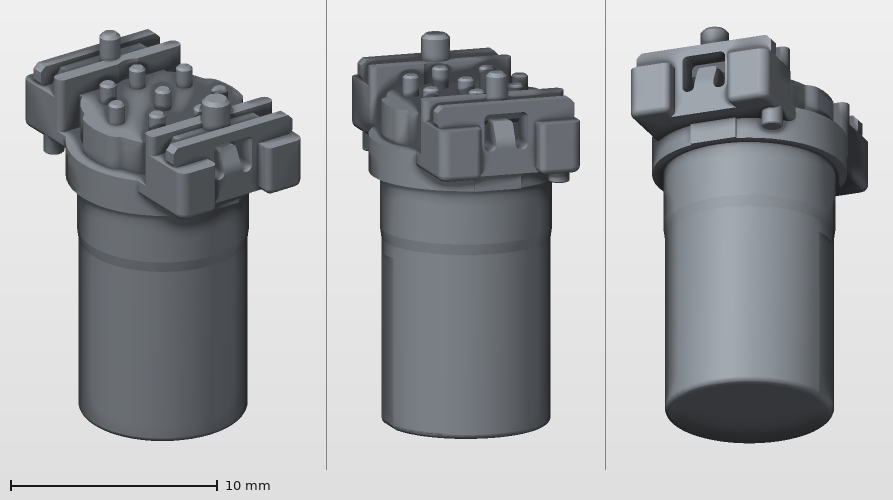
import cadquery as cq
import math

total_height = 18.3
flange_bottom_z = 12.48
wing_bottom_z = 13.5
flange_top_z = 14.3
deck_z = 16.03
bridge_top_z = 16.8
rail_top_z = 17.05

barrel_radius = 4.1
barrel_end_fillet = 0.3
collar_radius = 4.17
taper_bottom_z = 9.19
taper_top_z = 9.72
flat_y = 4.0
flat_top_z = 8.55
flange_radius = 4.72
flange_tab_half_width = 1.17

body_radius = 4.1
lobe_half_width = 1.32
notch_point = (1.55, 3.51)
shoulder_middle = (2.43, 3.17)
body_bar_half_width = 2.49
lobe_fillet = 0.82
notch_fillet = 0.22

wing_length = 13.5
wing_half_width = 3.62
leg_inner_y = 1.5
wing_core_x = 5.91
wing_root_x = 1.83
leg_outer_fillet = 0.5
leg_inner_fillet = 0.3
wing_bottom_fillet = 0.3

rail_inner_x = 3.5
inner_rail_thickness = 0.73
inner_rail_fillet = 0.31
outer_rail_thickness = 0.62
outer_rail_half_length = 3.51
outer_rail_corner = 0.25
bridge_top_half_length = 2.35
bridge_bottom_half_length = 2.82

window_half_width = 1.12
window_top_z = 16.55
window_floor_z = 14.7
window_top_fillet = 0.27
slot_fillet = 0.3
undercut_top_z = 15.95
undercut_depth = 0.24
window_back_x = 4.67
tongue_half_width = 0.5
tongue_start_z = 14.82
tongue_bend_z = 15.08
tongue_top_z = 16.07
tongue_ridge_depth = 0.51
tongue_bend_radius = 1.05
tongue_top_fillet = 0.16

contact_radius = 0.4
contact_chamfer = 0.11
contact_circle_radius = 2.75
contact_start_angle = -90
contact_step_angle = 49
contact_steps_each_side = 3
contact_clearance_radius = 0.95
guide_x = 4.48
guide_radii = {-1: 0.51, 1: 0.7}
guide_chamfer = 0.18
foot_x = 4.75
foot_y = 3.11
foot_radius = 0.51
foot_bottom_z = 12.72
foot_chamfer = 0.05

wing_end_x = wing_length / 2
inner_rail_outer_x = rail_inner_x + inner_rail_thickness
outer_rail_inner_x = wing_core_x - outer_rail_thickness


def box(x0, x1, y0, y1, z0, z1):
    """Axis-aligned block between the given limits."""
    return cq.Workplane("XY").box(x1 - x0, y1 - y0, z1 - z0, centered=False).translate((x0, y0, z0))


def cylinder(radius, z0, z1, x=0, y=0):
    """Upright cylinder."""
    return cq.Workplane("XY", origin=(x, y, z0)).circle(radius).extrude(z1 - z0)


def mirrored_x(solid):
    """The solid together with its mirror image across the YZ plane."""
    return solid.union(solid.mirror("YZ"))


def mirrored_y(solid):
    """The solid together with its mirror image across the XZ plane."""
    return solid.union(solid.mirror("XZ"))


def make_barrel():
    lower = cylinder(barrel_radius, 0, taper_bottom_z)
    lower = lower.cut(box(-barrel_radius, barrel_radius, flat_y, collar_radius, 0, flat_top_z))
    lower = lower.faces("<Z").edges().fillet(barrel_end_fillet)
    collar = (
        cq.Workplane("XZ")
        .moveTo(0, taper_bottom_z)
        .lineTo(barrel_radius, taper_bottom_z)
        .lineTo(collar_radius, taper_top_z)
        .lineTo(collar_radius, flange_bottom_z)
        .lineTo(0, flange_bottom_z)
        .close()
        .revolve(360, (0, 0, 0), (0, 1, 0))
    )
    return lower.union(collar)


def make_flange():
    disc = cylinder(flange_radius, flange_bottom_z, flange_top_z)
    tabs = box(
        -flange_radius, flange_radius,
        -flange_tab_half_width, flange_tab_half_width,
        flange_bottom_z, flange_top_z,
    )
    return disc.union(tabs)


def make_socket_body():
    lobe_y = math.sqrt(body_radius**2 - lobe_half_width**2)
    shoulder_x = math.sqrt(body_radius**2 - body_bar_half_width**2)
    notch_x, notch_y = notch_point
    middle_x, middle_y = shoulder_middle
    half = (
        cq.Workplane("XY", origin=(0, 0, flange_top_z))
        .moveTo(-rail_inner_x, 0)
        .lineTo(-rail_inner_x, body_bar_half_width)
        .lineTo(-shoulder_x, body_bar_half_width)
        .threePointArc((-middle_x, middle_y), (-notch_x, notch_y))
        .lineTo(-lobe_half_width, lobe_y)
        .threePointArc((0, body_radius), (lobe_half_width, lobe_y))
        .lineTo(notch_x, notch_y)
        .threePointArc((middle_x, middle_y), (shoulder_x, body_bar_half_width))
        .lineTo(rail_inner_x, body_bar_half_width)
        .lineTo(rail_inner_x, 0)
        .close()
        .extrude(deck_z - flange_top_z)
    )
    for corner_x, corner_y, radius in (
        (notch_x, notch_y, notch_fillet),
        (lobe_half_width, lobe_y, lobe_fillet),
    ):
        for side in (-1, 1):
            corner = cq.selectors.NearestToPointSelector((side * corner_x, corner_y, deck_z))
            half = half.edges("|Z").edges(corner).fillet(radius)
    return mirrored_y(half)


def make_leg(inner_x, z0, z1):
    """Leg block on the +X, +Y side with rounded outer corners."""
    leg = box(inner_x, wing_end_x, leg_inner_y, wing_half_width, z0, z1)
    leg = leg.edges("|Z and >X and >Y").fillet(leg_outer_fillet)
    return leg.edges("|Z and >X and <Y").fillet(leg_inner_fillet)


def make_wing():
    """Wing on the +X side: two legs, the core between them, two rails and a bridge."""
    lower_leg = make_leg(wing_root_x, wing_bottom_z, flange_top_z)
    lower_leg = lower_leg.faces("<Z").edges("not <X").fillet(wing_bottom_fillet)
    upper_leg = make_leg(rail_inner_x, flange_top_z, deck_z)
    upper_leg = upper_leg.edges("|Z and <X and >Y").fillet(inner_rail_fillet)
    legs = mirrored_y(lower_leg.union(upper_leg))

    core_half_width = wing_half_width / 2
    lower_core = box(
        wing_root_x, wing_core_x, -core_half_width, core_half_width, wing_bottom_z, flange_top_z
    )
    upper_core = box(
        rail_inner_x, wing_core_x, -core_half_width, core_half_width, flange_top_z, deck_z
    )

    inner_rail = box(
        rail_inner_x, inner_rail_outer_x, -wing_half_width, wing_half_width, deck_z, rail_top_z
    )
    inner_rail = inner_rail.edges("|Z").fillet(inner_rail_fillet)
    contact_angle = math.radians(contact_start_angle + 2 * contact_step_angle)
    inner_rail = inner_rail.cut(
        cylinder(
            contact_clearance_radius, deck_z, rail_top_z,
            contact_circle_radius * math.cos(contact_angle),
            contact_circle_radius * math.sin(contact_angle),
        )
    )

    outer_rail = box(
        outer_rail_inner_x, wing_core_x,
        -outer_rail_half_length, outer_rail_half_length,
        deck_z, rail_top_z,
    )
    outer_rail = outer_rail.faces(">Z").edges("|X").chamfer(outer_rail_corner)
    outer_rail = outer_rail.faces("<Z").edges("|X").fillet(outer_rail_corner)

    bridge = (
        cq.Workplane("YZ", origin=(inner_rail_outer_x, 0, 0))
        .moveTo(-bridge_bottom_half_length, deck_z)
        .lineTo(bridge_bottom_half_length, deck_z)
        .lineTo(bridge_top_half_length, bridge_top_z)
        .lineTo(-bridge_top_half_length, bridge_top_z)
        .close()
        .extrude(outer_rail_inner_x - inner_rail_outer_x)
    )

    wing = legs.union(lower_core).union(upper_core)
    wing = wing.union(inner_rail).union(outer_rail).union(bridge)
    return wing.cut(make_window())


def make_window():
    """Latch pocket in the +X wing: an undercut pocket with a ramped tongue in its middle."""
    undercut_x = window_back_x - undercut_depth
    slot_end_z = window_floor_z + slot_fillet

    opening = box(
        undercut_x, wing_core_x, -window_half_width, window_half_width, slot_end_z, window_top_z
    )
    opening = opening.faces(">Z").edges("|X").fillet(window_top_fillet)
    opening = opening.union(
        box(
            undercut_x, wing_core_x, -tongue_half_width, tongue_half_width,
            tongue_start_z, slot_end_z,
        )
    )

    tongue = (
        cq.Workplane("XZ", origin=(0, tongue_half_width, 0))
        .moveTo(undercut_x, window_floor_z)
        .lineTo(wing_core_x, window_floor_z)
        .lineTo(wing_core_x, tongue_bend_z)
        .lineTo(wing_core_x - tongue_ridge_depth, tongue_top_z)
        .lineTo(undercut_x, tongue_top_z)
        .close()
        .extrude(2 * tongue_half_width)
    )
    bend = cq.selectors.NearestToPointSelector((wing_core_x, 0, tongue_bend_z))
    tongue = tongue.edges("|Y").edges(bend).fillet(tongue_bend_radius)
    rounded_block = box(
        undercut_x, wing_core_x, -tongue_half_width, tongue_half_width,
        window_floor_z, tongue_top_z,
    )
    rounded_block = rounded_block.faces(">Z").edges("|X").fillet(tongue_top_fillet)
    tongue = tongue.intersect(rounded_block)

    slot = box(
        undercut_x, wing_core_x, tongue_half_width, window_half_width, window_floor_z, tongue_top_z
    )
    slot = slot.faces("<Z").edges("|X").fillet(slot_fillet)

    lip = (
        cq.Workplane("XZ", origin=(0, window_half_width, 0))
        .moveTo(undercut_x, undercut_top_z - undercut_depth)
        .lineTo(window_back_x, undercut_top_z)
        .lineTo(window_back_x, window_top_z)
        .lineTo(undercut_x, window_top_z)
        .close()
        .extrude(2 * window_half_width)
    )
    return opening.cut(tongue).union(mirrored_y(slot)).cut(lip)


def make_contacts():
    """One central contact pin and a ring of pins with a wider gap on the +Y side."""
    pin = cylinder(contact_radius, deck_z, rail_top_z).faces(">Z").edges().chamfer(contact_chamfer)
    pins = pin
    for step in range(-contact_steps_each_side, contact_steps_each_side + 1):
        angle = math.radians(contact_start_angle + step * contact_step_angle)
        place = (contact_circle_radius * math.cos(angle), contact_circle_radius * math.sin(angle), 0)
        pins = pins.union(pin.translate(place))
    return pins


def make_guide_pin(side):
    """Guide pin standing on the bridge of one wing."""
    pin = cylinder(guide_radii[side], bridge_top_z, total_height, side * guide_x)
    return pin.faces(">Z").edges().chamfer(guide_chamfer)


def make_foot_pin(side):
    """Short pin under one leg; the two pins sit on diagonally opposite legs."""
    pin = cylinder(foot_radius, foot_bottom_z, flange_top_z, side * foot_x, side * foot_y)
    return pin.faces("<Z").edges().chamfer(foot_chamfer)


result = make_barrel().union(make_flange()).union(make_socket_body())
result = result.union(mirrored_x(make_wing()))
result = result.union(make_contacts())
for side in (-1, 1):
    result = result.union(make_guide_pin(side)).union(make_foot_pin(side))